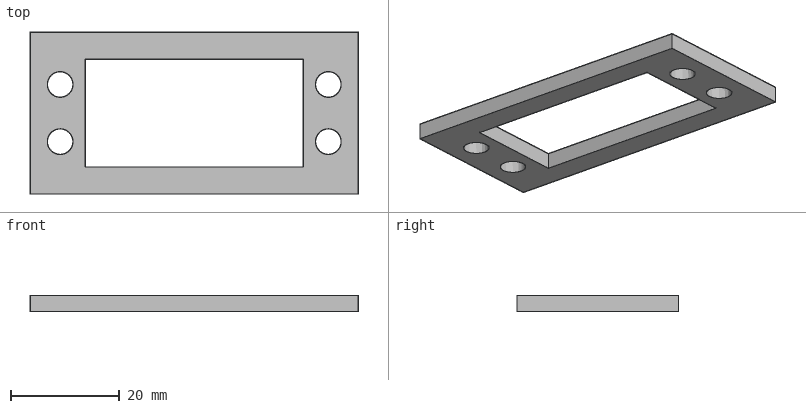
import cadquery as cq

plate_length = 60.25
plate_width = 29.75
plate_thickness = 3.0

end_border = 10.125
side_border = 5.0
window_length = plate_length - 2 * end_border
window_width = plate_width - 2 * side_border

hole_diameter = 4.65
hole_spacing_x = 49.25
hole_spacing_y = 10.5


def make_plate():
    """Flat plate centred on the Z axis, with its underside at Z = 0."""
    return cq.Workplane("XY").rect(plate_length, plate_width).extrude(plate_thickness)


def cut_window(body):
    """Cut the rectangular window through the plate."""
    return body.faces(">Z").workplane().rect(window_length, window_width).cutThruAll()


def drill_mounting_holes(body):
    """Drill the four mounting holes through the end borders."""
    return (
        body.faces(">Z")
        .workplane()
        .rect(hole_spacing_x, hole_spacing_y, forConstruction=True)
        .vertices()
        .hole(hole_diameter)
    )


result = drill_mounting_holes(cut_window(make_plate()))